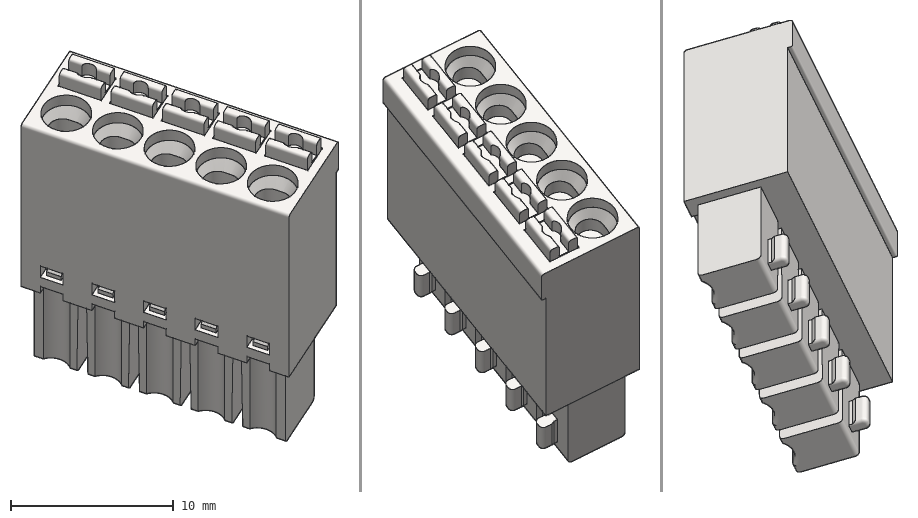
import cadquery as cq
import math

width = 18.2
depth = 7.15
height = 21.9

pole_count = 5
pitch = 3.5
pole_centers = [width / 2 + (i - (pole_count - 1) / 2) * pitch for i in range(pole_count)]

housing_bottom = 6.7
housing_top = 20.9
housing_fillet = 0.25
rear_lip_depth = 0.33
rear_lip_bottom = 18.37
rear_lip_fillet = 0.13

prong_front = 0.7
prong_rear = 4.85
prong_root_width = 2.93
prong_tip_width = 2.75
prong_end_margin = 0.57
prong_tip_fillet = 0.3
groove_radius = 1.2
groove_width = 1.8
groove_center_y = prong_front - math.sqrt(groove_radius**2 - (groove_width / 2) ** 2)

key_width = 0.83
key_bottom = 0.8
key_top = 3.07
key_rear = 6.07
key_side_fillet = 0.33
key_tip_fillet = 0.25
undercut_depth = 0.1
undercut_flat_end = 5.08
undercut_flare_end = 5.32

window_width = 1.53
window_bottom = 8.08
window_top = 9.07
window_depth = 0.77
latch_width = 1.0
latch_front = 0.3
latch_front_height = 0.33
latch_rear_height = 0.77
notch_height = 0.57

wire_y = 2.1
wire_diameter = 3.1
wire_straight_depth = 0.9
wire_bore_length = 2.37
wire_bore_width = 1.86
wire_taper_depth = 0.65
wire_bore_depth = 1.1

button_width = 2.83
button_front = 4.07
button_rear = 6.07
button_side_clearance = 0.07
button_end_clearance = 0.07
button_pocket_depth = 0.44
jaw_thickness = 0.65
jaw_fillet = 0.2
tool_diameter = 1.2


def block(x_range, y_range, z_range):
    """Box between the given limits."""
    return (
        cq.Workplane("XY", origin=(x_range[0], y_range[0], z_range[0]))
        .box(
            x_range[1] - x_range[0],
            y_range[1] - y_range[0],
            z_range[1] - z_range[0],
            centered=False,
        )
    )


def centered_span(center, size):
    return (center - size / 2, center + size / 2)


def make_housing():
    main_rear = depth - rear_lip_depth
    housing = block((0, width), (0, main_rear), (housing_bottom, housing_top))
    lip = block((0, width), (main_rear, depth), (rear_lip_bottom, housing_top))
    lip = lip.edges("|X and >Y and <Z").fillet(rear_lip_fillet)
    housing = housing.union(lip)
    return housing.faces(">Z").edges("|X").fillet(housing_fillet)


def make_prong(index):
    """Tapered prong with a front groove; the outer sides of the end prongs are straight."""
    center = pole_centers[index]
    root_left, root_right = centered_span(center, prong_root_width)
    tip_left, tip_right = centered_span(center, prong_tip_width)
    if index == 0:
        root_left = tip_left = prong_end_margin
    if index == pole_count - 1:
        root_right = tip_right = width - prong_end_margin
    prong = (
        cq.Workplane("XZ", origin=(0, prong_front, 0))
        .moveTo(root_left, housing_bottom)
        .lineTo(root_right, housing_bottom)
        .lineTo(tip_right, 0)
        .lineTo(tip_left, 0)
        .close()
        .extrude(prong_front - prong_rear)
    )
    groove = (
        cq.Workplane("XY")
        .center(center, groove_center_y)
        .circle(groove_radius)
        .extrude(housing_bottom)
    )
    prong = prong.cut(groove)
    front_and_rear_edges = prong.faces("<Z").edges("not(<X or >X)")
    return front_and_rear_edges.fillet(prong_tip_fillet)


def make_key(center):
    """Rounded key whose sides are undercut where it joins the prong."""
    left, right = centered_span(center, key_width)
    key = block((left, right), (prong_rear, key_rear), (key_bottom, key_top))
    key = key.edges("|Z and >Y").fillet(key_side_fillet)
    key = key.faces("<Z").edges("not(<Y)").fillet(key_tip_fillet)
    for side, inward in ((left, 1), (right, -1)):
        undercut_x = side + inward * undercut_depth
        undercut = (
            cq.Workplane("XY", origin=(0, 0, key_bottom))
            .moveTo(side, prong_rear)
            .lineTo(undercut_x, prong_rear)
            .lineTo(undercut_x, undercut_flat_end)
            .lineTo(side, undercut_flare_end)
            .close()
            .extrude(key_top - key_bottom)
        )
        key = key.cut(undercut)
    return key


def make_window(center):
    """Front window pocket that leaves a sloped latch standing inside."""
    pocket = block(
        centered_span(center, window_width), (0, window_depth), (window_bottom, window_top)
    )
    latch = (
        cq.Workplane("YZ", origin=(center - latch_width / 2, 0, 0))
        .moveTo(latch_front, window_bottom)
        .lineTo(latch_front, window_bottom + latch_front_height)
        .lineTo(window_depth, window_bottom + latch_rear_height)
        .lineTo(window_depth, window_bottom)
        .close()
        .extrude(latch_width)
    )
    return pocket.cut(latch)


def make_notch(center):
    return block(
        centered_span(center, window_width),
        (0, prong_front),
        (housing_bottom, housing_bottom + notch_height),
    )


def circle_outline(workplane):
    """Mouth circle, split in line with the four corners of the bore slot."""
    radius = wire_diameter / 2
    corner_angle = math.atan2(wire_bore_width, wire_bore_length - wire_bore_width)
    corner_x = radius * math.cos(corner_angle)
    corner_y = radius * math.sin(corner_angle)
    return (
        workplane.moveTo(corner_x, -corner_y)
        .threePointArc((radius, 0), (corner_x, corner_y))
        .threePointArc((0, radius), (-corner_x, corner_y))
        .threePointArc((-radius, 0), (-corner_x, -corner_y))
        .threePointArc((0, -radius), (corner_x, -corner_y))
        .close()
    )


def slot_outline(workplane):
    """Bore slot: half circles at both sides joined by straight front and rear edges."""
    corner_x = (wire_bore_length - wire_bore_width) / 2
    corner_y = wire_bore_width / 2
    return (
        workplane.moveTo(corner_x, -corner_y)
        .threePointArc((wire_bore_length / 2, 0), (corner_x, corner_y))
        .lineTo(-corner_x, corner_y)
        .threePointArc((-wire_bore_length / 2, 0), (-corner_x, -corner_y))
        .close()
    )


def make_wire_entry(center):
    """Round mouth, then a taper that blends into a slot-shaped bore."""
    taper_top = housing_top - wire_straight_depth
    taper_bottom = taper_top - wire_taper_depth
    mouth = (
        cq.Workplane("XY", origin=(center, wire_y, taper_top))
        .circle(wire_diameter / 2)
        .extrude(wire_straight_depth)
    )
    bore_top = cq.Workplane("XY", origin=(center, wire_y, taper_bottom))
    bore = slot_outline(bore_top).extrude(-wire_bore_depth)
    taper_end = slot_outline(bore_top).workplane(offset=wire_taper_depth)
    taper = circle_outline(taper_end).loft(ruled=True)
    return mouth.union(taper).union(bore)


def make_button_pocket(center):
    return block(
        centered_span(center, button_width + 2 * button_side_clearance),
        (button_front - button_end_clearance, button_rear + button_end_clearance),
        (housing_top - button_pocket_depth, housing_top),
    )


def make_button(center):
    """Base with two rounded jaws around a round tool opening."""
    x_span = centered_span(center, button_width)
    button = block(
        x_span, (button_front, button_rear), (housing_top - button_pocket_depth, housing_top)
    )
    for jaw_start in (button_front, button_rear - jaw_thickness):
        jaw = block(x_span, (jaw_start, jaw_start + jaw_thickness), (housing_top, height))
        button = button.union(jaw.faces(">Z").edges("|X").fillet(jaw_fillet))
    tool_opening = (
        cq.Workplane("XY", origin=(center, (button_front + button_rear) / 2, housing_top))
        .circle(tool_diameter / 2)
        .extrude(height - housing_top)
    )
    return button.cut(tool_opening)


result = make_housing()
for index, center in enumerate(pole_centers):
    result = result.union(make_prong(index))
    result = result.union(make_key(center))
    result = result.cut(make_window(center))
    result = result.cut(make_notch(center))
    result = result.cut(make_wire_entry(center))
    result = result.cut(make_button_pocket(center))
    result = result.union(make_button(center))